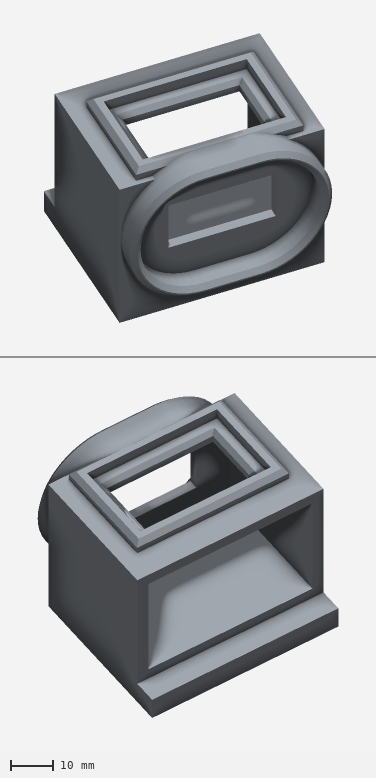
import cadquery as cq

wall = 3.15
ledge_length = 6.3
ledge_height = 6.3
body_back = 43.9
body_width = 53.25
body_top = 42.05

overall_height = 45.15
frame_start = 13.65
frame_length = 28.9
frame_width = 43.4
frame_chamfer = 1.3
frame_center = frame_start + frame_length / 2
seat_length = 22.75
seat_width = 37.15
seat_depth = 3.1
opening_length = 15.95
opening_width = 30.35
opening_chamfer = 1.15

overall_length = 50.15
boss_center_z = 25.8
boss_radius = 19.15
boss_straight = 14.4
boss_chamfer = 1.3
rim = 3.0
mouth_chamfer = 1.3
window_width = 27.9
window_height = 13.3
back_wall = 2.6
cavity_back = body_back - back_wall


def block(x_start, x_end, width, z_start, z_end):
    """Box centered on Y, placed by its X and Z limits."""
    box = cq.Workplane("XY").box(x_end - x_start, width, z_end - z_start, centered=(False, True, False))
    return box.translate((x_start, 0, z_start))


def obround(x_start, x_end, radius):
    """Obround prism along X, its straight sides running along Y."""
    profile = cq.Workplane("YZ", origin=(x_start, 0, boss_center_z))
    return profile.slot2D(boss_straight + 2 * radius, 2 * radius).extrude(x_end - x_start)


def top_block(length, width, z_start, z_end):
    """Box centered under the top frame."""
    return block(frame_center - length / 2, frame_center + length / 2, width, z_start, z_end)


base = block(0, body_back, body_width, 0, ledge_height)
body = block(ledge_length, body_back, body_width, 0, body_top)
frame = top_block(frame_length, frame_width, body_top, overall_height)
frame = frame.faces(">Z").edges().chamfer(frame_chamfer)
boss = obround(cavity_back, overall_length, boss_radius)
boss = boss.faces(">X").edges().chamfer(boss_chamfer)

cavity = block(ledge_length, cavity_back, body_width - 2 * wall, ledge_height + wall, body_top - wall)

seat_floor = overall_height - seat_depth
seat = top_block(seat_length, seat_width, seat_floor, overall_height)
opening_bevel = (
    cq.Workplane("XY", origin=(frame_center, 0, seat_floor - opening_chamfer))
    .rect(opening_length, opening_width)
    .workplane(offset=opening_chamfer)
    .rect(opening_length + 2 * opening_chamfer, opening_width + 2 * opening_chamfer)
    .loft(ruled=True)
)
opening = top_block(opening_length, opening_width, body_top - wall, seat_floor)

recess_radius = boss_radius - rim
mouth_radius = recess_radius + mouth_chamfer
recess = obround(body_back, overall_length, recess_radius)
mouth = obround(overall_length - mouth_chamfer, overall_length + mouth_chamfer, mouth_radius)
mouth = mouth.faces("<X").edges().chamfer(mouth_chamfer)
window = block(
    cavity_back,
    overall_length,
    window_width,
    boss_center_z - window_height / 2,
    boss_center_z + window_height / 2,
)

result = base.union(body).union(frame).union(boss)
for cut in (cavity, seat, opening_bevel, opening, recess, mouth, window):
    result = result.cut(cut)